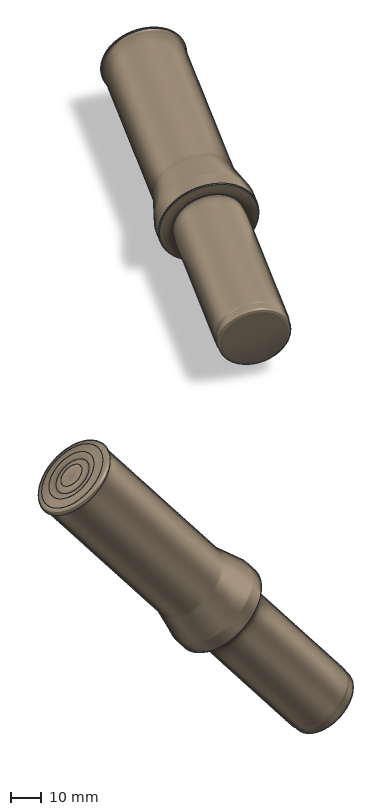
import cadquery as cq
import math

sleeve_length = 80.0
sleeve_radius = 14.0
collar_radius = 17.0
collar_land = 5.0
collar_edge_chamfer = 0.3
flare_length = 12.0
flare_root_fillet = 5.0
flare_top_fillet = 2.0

rim_radius = 14.5
rim_shoulder_radius = 13.7
rim_crown_x = 1.8
rim_end_x = 3.1

overall_length = 136.0
shaft_radius = 12.5
relief_radius = 12.25
neck_taper_end = sleeve_length + 2.0
tip_taper_start = overall_length - 4.0
relief_taper_angle = math.radians(15)
relief_fillet = 1.5
tip_fillet = 1.2

end_cone_slope = 0.13
groove_outer_radius = 9.2
groove_floor_radius = 6.75
groove_inner_radius = 4.3
groove_depth = 0.6
cup_depth = 0.5
cup_floor_radius = 0.2


def revolve_about_x(profile):
    """Turn an (x, radius) profile fully around the X axis."""
    return profile.close().revolve(360, (0, 0, 0), (1, 0, 0))


def end_cone_x(radius):
    """X of the blunt end cone at a radius outside the ring groove."""
    return (radius - groove_outer_radius) * end_cone_slope


def make_sleeve():
    collar_start = sleeve_length - collar_land
    flare_start = collar_start - flare_length
    flare_angle = math.atan2(collar_radius - sleeve_radius, flare_length)
    along = math.cos(flare_angle)
    across = math.sin(flare_angle)
    root_reach = flare_root_fillet * math.tan(flare_angle / 2)
    top_reach = flare_top_fillet * math.tan(flare_angle / 2)

    shoulder_x = end_cone_x(rim_shoulder_radius)
    bulge = math.sin(math.radians(45))
    crown_mid_x = rim_crown_x - (rim_crown_x - shoulder_x) * bulge
    crown_mid_radius = rim_shoulder_radius + (rim_radius - rim_shoulder_radius) * bulge

    sweep_width = rim_end_x - rim_crown_x
    sweep_drop = rim_radius - sleeve_radius
    sweep_arc_radius = (sweep_width**2 + sweep_drop**2) / (2 * sweep_drop)

    profile = (
        cq.Workplane("XY")
        .moveTo(end_cone_x(shaft_radius), shaft_radius)
        .lineTo(shoulder_x, rim_shoulder_radius)
        .threePointArc((crown_mid_x, crown_mid_radius), (rim_crown_x, rim_radius))
        .radiusArc((rim_end_x, sleeve_radius), -sweep_arc_radius)
        .lineTo(flare_start - root_reach, sleeve_radius)
        .radiusArc(
            (flare_start + root_reach * along, sleeve_radius + root_reach * across),
            -flare_root_fillet,
        )
        .lineTo(collar_start - top_reach * along, collar_radius - top_reach * across)
        .radiusArc((collar_start + top_reach, collar_radius), flare_top_fillet)
        .lineTo(sleeve_length - collar_edge_chamfer, collar_radius)
        .lineTo(sleeve_length, collar_radius - collar_edge_chamfer)
        .lineTo(sleeve_length, shaft_radius)
    )
    return revolve_about_x(profile)


def make_shaft():
    taper_length = (shaft_radius - relief_radius) / math.tan(relief_taper_angle)
    neck_taper_start = neck_taper_end - taper_length
    tip_taper_end = tip_taper_start + taper_length
    reach = relief_fillet * math.tan(relief_taper_angle / 2)
    along = reach * math.cos(relief_taper_angle)
    fillet_top_radius = relief_radius + reach * math.sin(relief_taper_angle)

    profile = (
        cq.Workplane("XY")
        .moveTo(cup_depth, 0)
        .lineTo(cup_depth, cup_floor_radius)
        .lineTo(0, groove_inner_radius)
        .lineTo(groove_depth, groove_floor_radius)
        .lineTo(0, groove_outer_radius)
        .lineTo(end_cone_x(shaft_radius), shaft_radius)
        .lineTo(sleeve_length, shaft_radius)
        .lineTo(sleeve_length, relief_radius)
        .lineTo(neck_taper_start - reach, relief_radius)
        .radiusArc((neck_taper_start + along, fillet_top_radius), -relief_fillet)
        .lineTo(neck_taper_end, shaft_radius)
        .lineTo(tip_taper_start, shaft_radius)
        .lineTo(tip_taper_end - along, fillet_top_radius)
        .radiusArc((tip_taper_end + reach, relief_radius), -relief_fillet)
        .lineTo(overall_length, relief_radius)
        .lineTo(overall_length, 0)
    )
    return revolve_about_x(profile).faces(">X").edges().fillet(tip_fillet)


sleeve = make_sleeve()
shaft = make_shaft()
result = cq.Compound.makeCompound([sleeve.val(), shaft.val()])